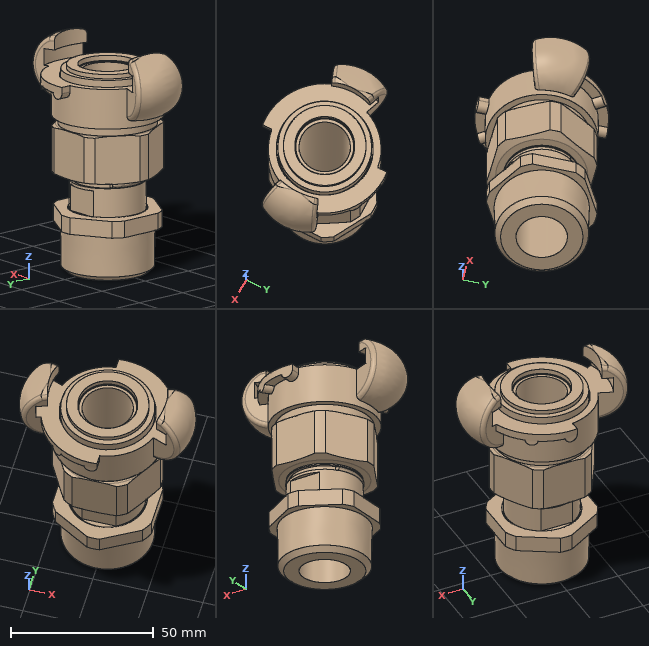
import cadquery as cq
import math

total_height = 82.9
thread_chamfer_height = 1.8
thread_top = 16.8
lower_hex_top = 22.9
stem_flat_top = 32.1
wire_groove_bottom = 33.2
wire_groove_top = 35.0
nut_bottom = 35.5
nut_top = 53.5
collar_top = 56.6
head_top = 71.05
gasket_shoulder = 73.45
gasket_top = 75.0

bore_diameter = 18.0
gasket_bore_diameter = 21.0
gasket_bore_depth = 1.8
ledge_diameter = 20.3
ledge_depth = 2.1
thread_end_diameter = 28.85
thread_small_diameter = 33.0
thread_large_diameter = 33.4
stem_diameter = 27.0
wire_groove_diameter = 25.0
collar_diameter = 35.0
head_diameter = 39.6
gasket_diameter = 33.0
gasket_seat_diameter = 34.0
gasket_seat_depth = 1.65
gasket_lip_diameter = 29.0
stem_seat_diameter = 28.1
stem_seat_depth = 0.4

hex_across_flats = 36.0
lower_hex_corner_diameter = 39.2
nut_corner_diameter = 39.5
nut_chamfer_angle = 15.0
nut_bottom_face_diameter = 32.3
nut_top_face_diameter = 36.8

stem_across_flats = 24.05
wire_diameter = 1.65
wire_outer_diameter = 27.5
wire_gap_start = 7.6

root_diameter = 38.1

lip_diameter = 47.0
lip_thickness = 2.9
bump_radius = 2.4
bump_center_drop = 2.3
bump_angles = (0.0, 35.0)

claw_half_angle = 21.0
claw_span = 62.9
claw_reach = claw_span / 2
claw_arc_radius = 11.9
claw_plan_radius = 18.8
claw_cap_radius = 24.05
claw_edge_fillet = 1.65
claw_tip_diameter = 42.3
claw_slot_diameter = 50.6
claw_slot_top = 77.1


def cylinder(diameter, bottom, top):
    """Upright cylinder on the part axis."""
    return cq.Workplane("XY").workplane(offset=bottom).circle(diameter / 2).extrude(top - bottom)


def hexagon(corner_diameter, bottom, top, turn):
    """Hexagon with its corners turned down to a circle; turn rotates it about the axis."""
    sharp_diameter = hex_across_flats / math.cos(math.pi / 6)
    prism = cq.Workplane("XY").workplane(offset=bottom).polygon(6, sharp_diameter).extrude(top - bottom)
    prism = prism.rotate((0, 0, 0), (0, 0, 1), turn)
    return prism.intersect(cylinder(corner_diameter, bottom, top))


def wedge(half_angle, reach, bottom, top):
    """Triangular wedge around +X with its point on the part axis."""
    half_width = reach * math.tan(math.radians(half_angle))
    outline = cq.Workplane("XY").workplane(offset=bottom).polyline(
        [(0, 0), (reach, -half_width), (reach, half_width)]).close()
    return outline.extrude(top - bottom)


def half_turn(shape):
    """Copy of a shape on the opposite side of the part axis."""
    return shape.rotate((0, 0, 0), (0, 0, 1), 180)


def turned(outline):
    """Solid turned about the part axis from (radius, height) points."""
    return cq.Workplane("XZ").polyline(outline).close().revolve(360, (0, 0, 0), (0, 1, 0))


def make_threaded_end():
    """Tapered end, without thread turns, chamfered at the bottom."""
    return turned([
        (0, 0),
        (thread_end_diameter / 2, 0),
        (thread_small_diameter / 2, thread_chamfer_height),
        (thread_large_diameter / 2, thread_top),
        (0, thread_top),
    ])


def make_lower_hex():
    """Fixed hexagon with flats on +X and -X, recessed round the foot of the stem."""
    seat = cylinder(stem_seat_diameter, lower_hex_top - stem_seat_depth, lower_hex_top)
    return hexagon(lower_hex_corner_diameter, thread_top, lower_hex_top, 30).cut(seat)


def make_stem():
    """Stem with two flats, a wire groove above them and a short land under the nut."""
    stem_bottom = lower_hex_top - stem_seat_depth
    stem = cylinder(stem_diameter, stem_bottom, wire_groove_bottom)
    slab = cq.Workplane("XY").workplane(offset=stem_bottom).rect(
        stem_diameter, stem_across_flats).extrude(stem_flat_top - stem_bottom)
    stem = stem.intersect(slab.union(cylinder(stem_diameter, stem_flat_top, wire_groove_bottom)))
    groove_core = cylinder(wire_groove_diameter, wire_groove_bottom, wire_groove_top)
    return stem.union(groove_core).union(cylinder(stem_diameter, wire_groove_top, nut_bottom))


def make_wire_ring():
    """Round wire ring lying in the groove, open towards +Y."""
    middle = (wire_groove_bottom + wire_groove_top) / 2
    center_radius = (wire_outer_diameter - wire_diameter) / 2
    ring = cq.Workplane("XZ").center(center_radius, middle).circle(wire_diameter / 2).revolve(
        360, (-center_radius, 0, 0), (-center_radius, 1, 0))
    gap = cq.Workplane("XY").box(wire_outer_diameter, wire_outer_diameter, 2 * wire_diameter)
    return ring.cut(gap.translate((0, wire_gap_start + wire_outer_diameter / 2, middle)))


def make_nut():
    """Hexagon nut with its corners cut back by a cone at both ends."""
    slope = math.tan(math.radians(nut_chamfer_angle))
    corner_radius = nut_corner_diameter / 2
    bottom_face_radius = nut_bottom_face_diameter / 2
    top_face_radius = nut_top_face_diameter / 2
    blank = turned([
        (0, nut_bottom),
        (bottom_face_radius, nut_bottom),
        (corner_radius, nut_bottom + (corner_radius - bottom_face_radius) * slope),
        (corner_radius, nut_top - (corner_radius - top_face_radius) * slope),
        (top_face_radius, nut_top),
        (0, nut_top),
    ])
    return hexagon(nut_corner_diameter, nut_bottom, nut_top, 0).intersect(blank)


def make_head():
    """Coupling head on its collar, with the stepped gasket seated in a shallow clearance recess."""
    seat = cylinder(gasket_seat_diameter, head_top - gasket_seat_depth, head_top)
    head = cylinder(head_diameter, collar_top, head_top).cut(seat)
    gasket = cylinder(gasket_diameter, head_top - gasket_seat_depth, gasket_shoulder)
    head = head.union(cylinder(collar_diameter, nut_top, collar_top)).union(gasket)
    return head.union(cylinder(gasket_lip_diameter, gasket_shoulder, gasket_top))


def make_lip():
    """Lip on the -Y side, running from just past -Y round to the -X claw, with bumps below."""
    lip_bottom = head_top - lip_thickness
    bump_middle = head_top - bump_center_drop
    bump_bottom = bump_middle - bump_radius
    lip = cylinder(lip_diameter, lip_bottom, head_top)
    end_relief = cq.Workplane("XY").workplane(offset=lip_bottom).rect(
        lip_diameter, lip_diameter).extrude(bump_middle - lip_bottom)
    lip = lip.cut(end_relief.translate((lip_diameter / 2, 0, 0)))
    reach = cylinder(lip_diameter, bump_bottom, head_top)
    for angle in bump_angles:
        bump = cq.Workplane("XZ").center(0, bump_middle).circle(bump_radius).extrude(lip_diameter)
        lip = lip.union(bump.intersect(reach).rotate((0, 0, 0), (0, 0, 1), -angle))
    claw_edge_y = -lip_diameter * math.tan(math.radians(claw_half_angle))
    sector = cq.Workplane("XY").workplane(offset=bump_bottom).polyline([
        (0, 0),
        (-lip_diameter, claw_edge_y),
        (-lip_diameter, -lip_diameter),
        (bump_radius, -lip_diameter),
        (bump_radius, 0),
    ]).close().extrude(head_top - bump_bottom)
    return lip.intersect(sector).cut(cylinder(root_diameter, bump_bottom, head_top))


def make_claw():
    """Hooked claw on the +X side: a domed wedge with a slot cut in from the axis."""
    arc_center = claw_reach - claw_arc_radius
    plan_center = claw_reach - claw_plan_radius
    low = head_top - claw_arc_radius
    high = head_top + claw_arc_radius
    profile = cq.Workplane("XZ").moveTo(plan_center, low).lineTo(arc_center, low).threePointArc(
        (claw_reach, head_top), (arc_center, high)).lineTo(plan_center, high).close()
    dome = profile.revolve(360, (plan_center, 0, 0), (plan_center, 1, 0))
    claw = dome.intersect(wedge(claw_half_angle, 2 * claw_reach, low, high))
    claw = claw.cut(cylinder(root_diameter, low, high))
    cap = cq.Workplane("YZ").center(0, total_height - claw_cap_radius).circle(claw_cap_radius)
    claw = claw.intersect(cap.extrude(2 * claw_reach))
    angle = math.radians(claw_half_angle)
    for side in (-1, 1):
        normal = cq.Vector(-math.sin(angle), side * math.cos(angle), 0)
        side_face = claw.faces(cq.selectors.ParallelDirSelector(normal))
        claw = side_face.edges("not |Z").fillet(claw_edge_fillet)
    claw = claw.cut(cylinder(claw_tip_diameter, head_top, high))
    return claw.cut(cylinder(claw_slot_diameter, head_top, claw_slot_top))


def make_part():
    """All pieces joined, with the other claw and lip half a turn round and the bore cut through."""
    claw = make_claw()
    lip = make_lip()
    part = make_threaded_end()
    for piece in (make_lower_hex(), make_stem(), make_wire_ring(), make_nut(), make_head(),
                  claw, half_turn(claw), lip, half_turn(lip)):
        part = part.union(piece)
    part = part.cut(cylinder(bore_diameter, 0, gasket_top))
    part = part.cut(cylinder(ledge_diameter, gasket_top - ledge_depth, gasket_top))
    return part.cut(cylinder(gasket_bore_diameter, gasket_top - gasket_bore_depth, gasket_top))


result = make_part()